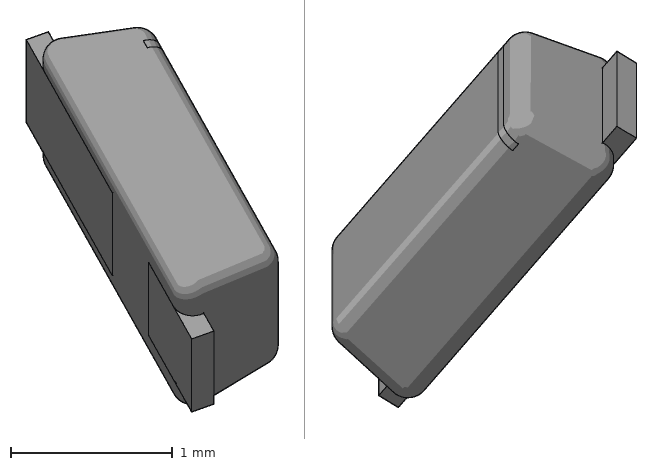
import cadquery as cq
import math

OVERALL_LENGTH = 2.5
HOUSING_LENGTH = 2.2
HOUSING_WIDTH = 1.25
HOUSING_DEPTH = 0.73
DRAFT_ANGLE = 8.0
EDGE_RADIUS = 0.132

TERMINAL_THICKNESS = 0.15
LARGE_TERMINAL_LENGTH = 1.3
LARGE_TERMINAL_WIDTH = 0.85
SMALL_TERMINAL_LENGTH = 0.65
SMALL_TERMINAL_WIDTH = 0.75

BAND_START = -0.855
BAND_WIDTH = 0.06

draft = math.radians(DRAFT_ANGLE)
ROUNDING_INSET = EDGE_RADIUS * (math.tan(math.pi / 4 + draft / 2) - 1)
BAND_DEPTH = EDGE_RADIUS * (1 - math.sin(draft))


def make_housing_blank():
    """Tapered block with all edges rounded, before any recess is cut."""
    return (
        cq.Workplane("XZ")
        .rect(HOUSING_LENGTH + 2 * ROUNDING_INSET, HOUSING_WIDTH + 2 * ROUNDING_INSET)
        .extrude(-HOUSING_DEPTH, taper=DRAFT_ANGLE)
        .edges()
        .fillet(EDGE_RADIUS)
    )


def make_terminal(length, width, side):
    """Flat terminal at one end: side is -1 for the -X end, +1 for the +X end."""
    center_x = side * (OVERALL_LENGTH - length) / 2
    return (
        cq.Workplane("XY")
        .box(length, TERMINAL_THICKNESS, width)
        .translate((center_x, TERMINAL_THICKNESS / 2, 0))
    )


def make_polarity_band(blank):
    """Strip across the back face that follows the rounded housing surface."""
    strip = (
        cq.Workplane("XY")
        .box(BAND_WIDTH, BAND_DEPTH, HOUSING_WIDTH)
        .translate((BAND_START + BAND_WIDTH / 2, HOUSING_DEPTH - BAND_DEPTH / 2, 0))
    )
    return blank.intersect(strip)


housing_blank = make_housing_blank()
large_terminal = make_terminal(LARGE_TERMINAL_LENGTH, LARGE_TERMINAL_WIDTH, -1)
small_terminal = make_terminal(SMALL_TERMINAL_LENGTH, SMALL_TERMINAL_WIDTH, 1)
polarity_band = make_polarity_band(housing_blank)

housing = housing_blank.cut(large_terminal).cut(small_terminal).cut(polarity_band)

result = cq.Compound.makeCompound([
    housing.solids().val(),
    large_terminal.val(),
    small_terminal.val(),
    polarity_band.solids().val(),
])